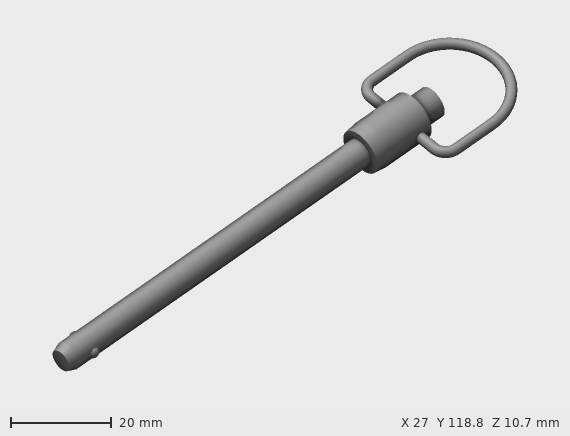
import cadquery as cq
import math


overall_length = 118.8
ring_width = 27.0
wire_diameter = 2.4
ring_straight = 9.6
ring_corner_radius = 3.1

shank_length = 81.2
shank_diameter = 6.3
tip_diameter = 4.9
tip_length = 1.9
ball_radius = 1.3
ball_protrusion = 0.7
ball_from_tip = 6.3

body_diameter = 10.7
body_length = 14.4
body_end_diameter = 10.0
body_taper_length = 2.9
collar_base_diameter = 8.8
collar_top_diameter = 7.6
collar_length = 1.1
button_diameter = 7.0
button_length = 4.2


def make_pin():
    """Revolve the shank, body, collar and button as one turned profile."""
    collar_top = body_length + collar_length
    button_top = collar_top + button_length
    profile = [
        (0, -shank_length),
        (tip_diameter / 2, -shank_length),
        (shank_diameter / 2, tip_length - shank_length),
        (shank_diameter / 2, 0),
        (body_end_diameter / 2, 0),
        (body_diameter / 2, body_taper_length),
        (body_diameter / 2, body_length),
        (collar_base_diameter / 2, body_length),
        (collar_top_diameter / 2, collar_top),
        (button_diameter / 2, collar_top),
        (button_diameter / 2, button_top),
        (0, button_top),
    ]
    return cq.Workplane("XY").polyline(profile).close().revolve(360, (0, 0, 0), (0, 1, 0))


def make_ring():
    """Sweep the round wire along a D-shaped loop whose lower bar crosses the body."""
    half_width = (ring_width - wire_diameter) / 2
    ring_top = overall_length - shank_length - wire_diameter / 2
    arc_base = ring_top - half_width
    straight_base = arc_base - ring_straight
    bar_y = straight_base - ring_corner_radius
    bar_end = half_width - ring_corner_radius
    corner_offset = ring_corner_radius * math.sqrt(0.5)
    corner_x = bar_end + corner_offset
    corner_y = straight_base - corner_offset
    path = (
        cq.Workplane("XY")
        .moveTo(0, bar_y)
        .lineTo(bar_end, bar_y)
        .threePointArc((corner_x, corner_y), (half_width, straight_base))
        .lineTo(half_width, arc_base)
        .threePointArc((0, ring_top), (-half_width, arc_base))
        .lineTo(-half_width, straight_base)
        .threePointArc((-corner_x, corner_y), (-bar_end, bar_y))
        .close()
    )
    wire_section = cq.Workplane("YZ").center(bar_y, 0).circle(wire_diameter / 2)
    return wire_section.sweep(path)


def make_balls():
    """Two locking balls standing out of opposite sides of the shank."""
    ball_x = shank_diameter / 2 + ball_protrusion - ball_radius
    ball_y = ball_from_tip - shank_length
    centers = [(-ball_x, ball_y), (ball_x, ball_y)]
    return cq.Workplane("XY").pushPoints(centers).sphere(ball_radius)


result = make_pin().union(make_ring()).union(make_balls())